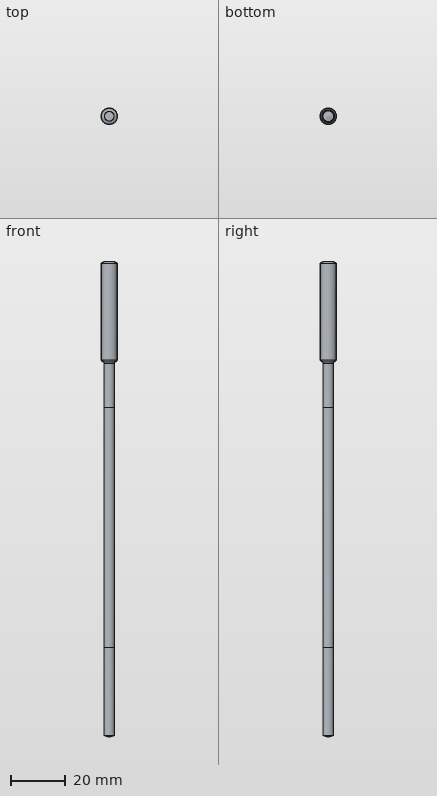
import cadquery as cq
import math

overall_length = 174.0

shank_diameter = 6.0
shank_length = 36.0
rear_flat_diameter = 3.5
rear_chamfer_height = 0.7
front_flat_diameter = 4.7
front_chamfer_height = 0.8

collar_diameter = 4.0
collar_height = 0.5
neck_diameter = 3.96

flute_length = 120.6
lead_diameter = 4.0
lead_rear_diameter = 3.97
lead_length = 32.7
point_angle = 146.0

rear_chamfer_bottom = overall_length - rear_chamfer_height
front_chamfer_top = overall_length - shank_length
front_flat_level = front_chamfer_top - front_chamfer_height
collar_bottom = front_flat_level - collar_height
point_height = lead_diameter / 2 / math.tan(math.radians(point_angle / 2))


def turned_body(steps):
    """Revolve a solid about the Z axis from (diameter, z) steps listed from bottom to top."""
    bottom_diameter, bottom = steps[0]
    top = steps[-1][1]
    outline = [(diameter / 2, z) for diameter, z in steps]
    if bottom_diameter > 0:
        outline.insert(0, (0, bottom))
    outline.append((0, top))
    return cq.Workplane("XZ").polyline(outline).close().revolve(360, (0, 0, 0), (0, 1, 0))


def make_shank():
    """Cylindrical shank with chamfered ends, a short collar and the plain neck."""
    return turned_body([
        (neck_diameter, flute_length),
        (neck_diameter, collar_bottom),
        (collar_diameter, collar_bottom),
        (collar_diameter, front_flat_level),
        (front_flat_diameter, front_flat_level),
        (shank_diameter, front_chamfer_top),
        (shank_diameter, rear_chamfer_bottom),
        (rear_flat_diameter, overall_length),
    ])


def make_cutting_part():
    """Slender cutting part: conical point, back-tapered lead and relieved body."""
    return turned_body([
        (0, 0),
        (lead_diameter, point_height),
        (lead_rear_diameter, lead_length),
        (neck_diameter, lead_length),
        (neck_diameter, flute_length),
    ])


shank = make_shank()
cutting_part = make_cutting_part()

result = cq.Compound.makeCompound([shank.val(), cutting_part.val()])